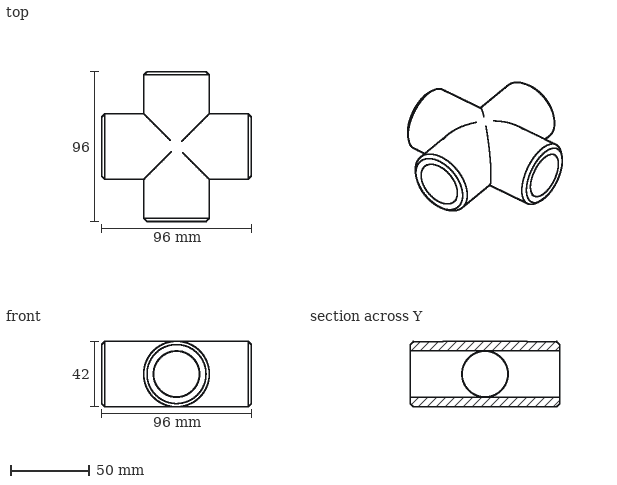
import cadquery as cq

length = 96.0
outer_diameter = 42.0
bore_diameter = 29.4
chamfer = 2.1


def centred_cylinder(plane, diameter):
    """Cylinder along the normal of the plane, centred on the origin."""
    return cq.Workplane(plane).circle(diameter / 2).extrude(length / 2, both=True)


def chamfered_pipe(plane, axis):
    """Solid pipe body with both outer end rims chamfered."""
    pipe = centred_cylinder(plane, outer_diameter)
    return pipe.faces(f"<{axis} or >{axis}").edges().chamfer(chamfer)


body = chamfered_pipe("YZ", "X").union(chamfered_pipe("XZ", "Y"))

for bore_plane in ("YZ", "XZ"):
    body = body.cut(centred_cylinder(bore_plane, bore_diameter))

result = body